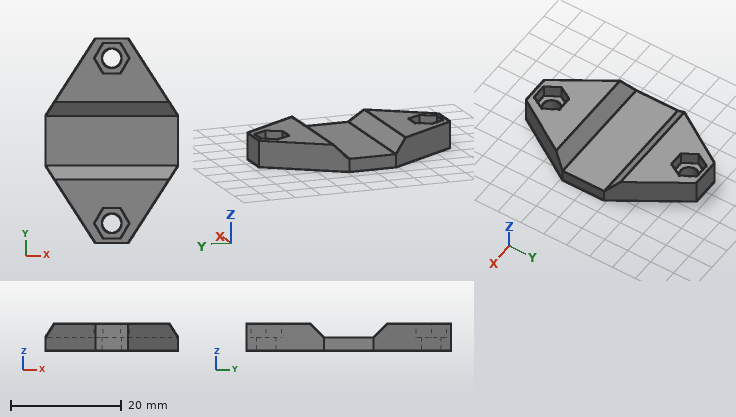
import cadquery as cq
import math

length = 37.2
width = 24.1
height = 5.0
end_width = 6.0

channel_floor_width = 9.08
channel_depth = height / 2
channel_top_width = channel_floor_width + 2 * channel_depth

hole_spacing = 30.0
hole_diameter = 3.5
nut_across_flats = 5.5
nut_across_corners = nut_across_flats / math.cos(math.pi / 6)
nut_depth = 2.5
hole_centers = [(0, -hole_spacing / 2), (0, hole_spacing / 2)]


def make_plate():
    """Eight-sided plate tapering to a narrow flat at each Y end, base at Z = 0."""
    half_outline = [
        (end_width / 2, -length / 2),
        (width / 2, -channel_floor_width / 2),
        (width / 2, channel_floor_width / 2),
        (end_width / 2, length / 2),
    ]
    opposite_half = [(-x, -y) for x, y in half_outline]
    return cq.Workplane("XY").polyline(half_outline + opposite_half).close().extrude(height)


def make_channel():
    """Trapezoidal channel running along X through the full width."""
    floor_z = height - channel_depth
    section = [
        (-channel_floor_width / 2, floor_z),
        (channel_floor_width / 2, floor_z),
        (channel_top_width / 2, height),
        (-channel_top_width / 2, height),
    ]
    return cq.Workplane("YZ").polyline(section).close().extrude(width / 2, both=True)


def make_screw_holes():
    """Through holes topped by nut pockets with two corners on the X direction."""
    holes = cq.Workplane("XY").pushPoints(hole_centers).circle(hole_diameter / 2).extrude(height)
    pockets = (
        cq.Workplane("XY", origin=(0, 0, height - nut_depth))
        .pushPoints(hole_centers)
        .polygon(6, nut_across_corners)
        .extrude(nut_depth)
    )
    return holes.union(pockets)


result = make_plate().cut(make_channel()).cut(make_screw_holes())